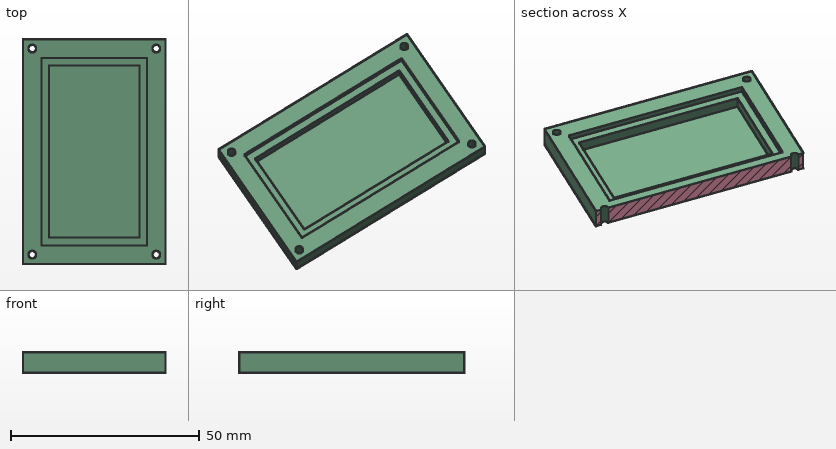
import cadquery as cq

width = 37.95
length = 59.8

base_thickness = 1.0
frame_thickness = 3.0
bezel_thickness = 1.5

bezel_opening_width = 28.1
bezel_opening_length = 49.85
ledge_width = 2.1

hole_diameter = 2.0
hole_edge_distance = 2.5


def layer(bottom, thickness, x_size, y_size):
    """Rectangular block centred on Z, standing on the given height."""
    return cq.Workplane("XY").workplane(offset=bottom).rect(x_size, y_size).extrude(thickness)


bezel_bottom = base_thickness + frame_thickness
height = bezel_bottom + bezel_thickness

body = layer(0, height, width, length)

bezel_opening = layer(bezel_bottom, bezel_thickness, bezel_opening_width, bezel_opening_length)
pocket = layer(
    base_thickness,
    frame_thickness,
    bezel_opening_width - 2 * ledge_width,
    bezel_opening_length - 2 * ledge_width,
)

screw_holes = (
    cq.Workplane("XY")
    .rect(width - 2 * hole_edge_distance, length - 2 * hole_edge_distance, forConstruction=True)
    .vertices()
    .circle(hole_diameter / 2)
    .extrude(height)
)

result = body.cut(bezel_opening).cut(pocket).cut(screw_holes)